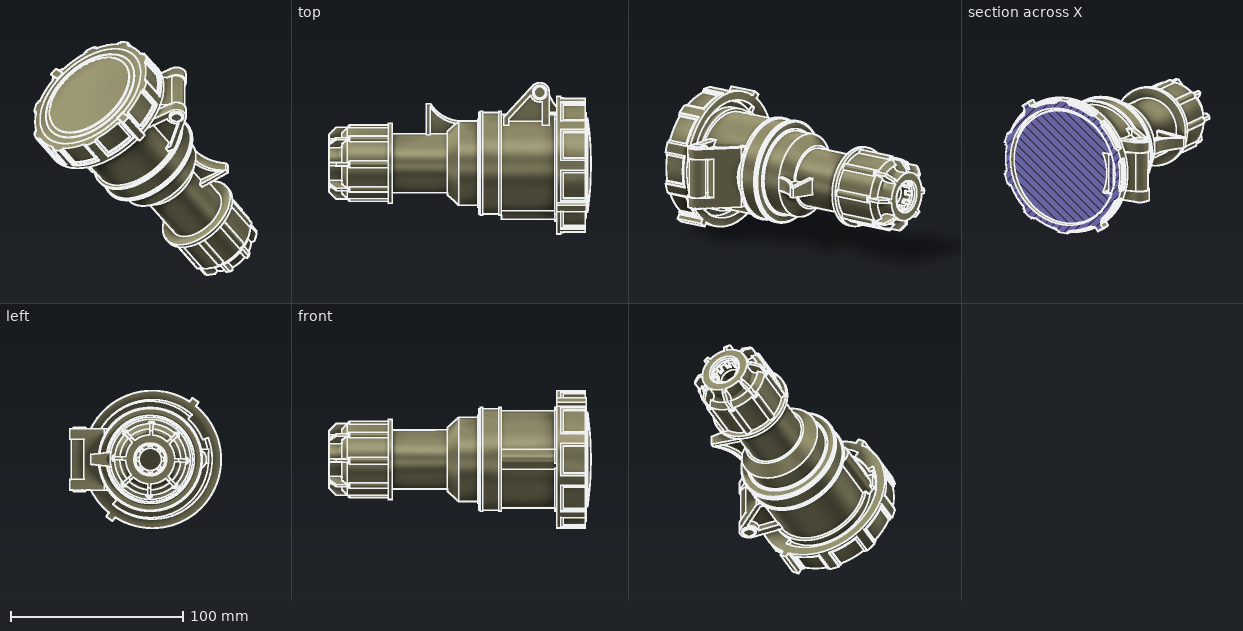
import cadquery as cq
import math

LENGTH = 152.2
COLLAR_Y = -1.2

NUT_HUB_R = 28.5 / 2
NUT_HUB_END = 5.6
NUT_SHOULDER_X = 7.6
NUT_SHOULDER_R = 17.7
NUT_BODY_R = 20.7
NUT_BODY_X = 10.8
NUT_FLANGE_R = 23.3
NUT_FLANGE_X = 34.4
NUT_END = 36.8
NUT_MOUTH_R = 17.2 / 2
NUT_MOUTH_CHAMFER = 0.9
GRIP_COUNT = 8
GRIP_TURN = 2.0
GRIP_RIB_R = 2.1
GRIP_RIB_TIP_R = 22.2
GRIP_RIB_X = 11.4
GRIP_RIB_CHAMFER = 0.6
FIN_WIDTH = 1.8
FIN_TIP_R = 20.9
FIN_CHAMFER = 4.3
FIN_ROOT_R = 12.2

INSERT_X = 2.7
INSERT_END = 9.3
CABLE_R = 13.0 / 2
FINGER_SLOT_R = 15.5 / 2
FINGER_COUNT = 8
FINGER_SLOT_WIDTH = 2.5
FINGER_SLOT_DEPTH = 3.8

NOSE_R = 25.5 / 2
TUBE_X = 18.3
TUBE_R = 17.2
CONE_X = 68.8
CONE_START_R = 18.5
CONE_END_X = 75.3
SHELL_R = 49.0 / 2
SHELL_BEAD_R = 25.5
SHELL_BEAD_WIDTH = 0.8
SHELL_END = 95.9

HOOK_X = 56.5
HOOK_TIP_X = 58.9
HOOK_TIP_Y = 34.5
HOOK_END_X = 75.5
HOOK_SAG = 2.3
HOOK_RIM = 1.7
HOOK_ROOT_Y = 15.2
HOOK_TIP_HALF_WIDTH = 2.9
HOOK_ROOT_HALF_WIDTH = 5.0
HOOK_WEB_HALF_WIDTH = 1.4

HOUSING_X = 87.0
BEAD_R = 60.3 / 2
BAND_R = 29.5
BEAD_WIDTH = 1.5
BEAD_1_X = 87.8
BEAD_2_X = 98.6
HOUSING_R = 28.3
HOUSING_FLANGE_X = 131.2
BAYONET_X = 136.2
BAYONET_R = 33.8
HOUSING_END = 140.0
KEY_R = 11.7 / 2
KEY_TIP_R = 32.5
KEY_END = 134.7
KEY_STOP_TOP = 6.0
KEY_STOP_BOTTOM = -2.1

PIVOT_X = 122.4
PIVOT_Y = 41.1
PIVOT_R = 5.6
BLOCK_HALF_WIDTH = 17.8
BLOCK_X = 101.4
BLOCK_SLOPE_Y = 26.6
BLOCK_FRONT_X = PIVOT_X + PIVOT_R
BLOCK_ROOT_Y = 18.3
BLOCK_WALL = 2.9
BLOCK_LEG = 4.3
BLOCK_RECESS = 3.5
WINDOW_HALF_WIDTH = 11.5
WINDOW_Y = 38.5
PIN_SHANK_R = 7.0 / 2
PIN_HEAD_R = 8.4 / 2
PIN_HEAD_HEIGHT = 0.9
PIN_TIP_R = 6.5 / 2

BARREL_R = 4.9
ARM_BOTTOM_Y = 29.4
ARM_TOP_Y = 32.7
ARM_SAG = 0.3
ARM_CLEARANCE = 0.3
LID_RIM_X = 149.5
LID_RIM_R = 30.5
DOME_X = 150.2
DOME_R = 27.4

COLLAR_X = 132.1
COLLAR_R = 79.9 / 2
COLLAR_BORE_R = 34.7
COLLAR_END = 148.9
POCKET_COUNT = 10
POCKET_ANGLE = 27.5
POCKET_X = 134.5
POCKET_STEP_R = 39.1
POCKET_FLOOR_ANGLE = 23.4
POCKET_FLOOR_X = 136.1
POCKET_FLOOR_R = 38.2
GRIP_TAB_R = 42.6
GRIP_TAB_END = 149.5
GRIP_TAB_WIDTH = 4.5
CATCH_R = 31.4
CATCH_WIDTH = 2.6
CATCH_START = 41.4
CATCH_END = 68.7

OVERSIZE = 60.9


def turned(points):
    """Solid of revolution about X from an (x, radius) outline starting and ending on the axis."""
    return cq.Workplane("XY").polyline(points).close().revolve(360, (0, 0, 0), (1, 0, 0))


def disc(x_start, x_end, radius, y=0.0):
    """Cylinder along X."""
    return cq.Workplane("YZ", origin=(x_start, y, 0)).circle(radius).extrude(x_end - x_start)


def plate(outline, half_width):
    """XY outline made into a plate centred on Z = 0."""
    return outline.extrude(half_width, both=True)


def box(x_range, y_range, z_range):
    """Axis-aligned box between pairs of limits."""
    size = [limits[1] - limits[0] for limits in (x_range, y_range, z_range)]
    return cq.Workplane("XY", origin=(x_range[0], y_range[0], z_range[0])).box(*size, centered=False)


def spin(shape, angle, y=0.0):
    """Turn a shape about the X-parallel axis at the given Y."""
    return shape.rotate((0, y, 0), (1, y, 0), angle)


def ring_sector(x_start, x_end, inner_r, outer_r, start, end):
    """Part of a ring about the collar axis, between two angles turned from +Z towards -Y."""
    def at(radius, angle):
        turn = math.radians(angle)
        return (-radius * math.sin(turn), radius * math.cos(turn))

    middle = (start + end) / 2
    return (
        cq.Workplane("YZ", origin=(x_start, COLLAR_Y, 0))
        .moveTo(*at(inner_r, start))
        .lineTo(*at(outer_r, start))
        .threePointArc(at(outer_r, middle), at(outer_r, end))
        .lineTo(*at(inner_r, end))
        .threePointArc(at(inner_r, middle), at(inner_r, start))
        .close()
        .extrude(x_end - x_start)
    )


def make_nut():
    fillet = NUT_SHOULDER_R - NUT_HUB_R
    bend = math.sqrt(0.5) * fillet
    nut = (
        cq.Workplane("XY")
        .moveTo(0, 0)
        .lineTo(0, NUT_HUB_R)
        .lineTo(NUT_HUB_END, NUT_HUB_R)
        .threePointArc(
            (NUT_HUB_END + bend, NUT_SHOULDER_R - bend),
            (NUT_HUB_END + fillet, NUT_SHOULDER_R),
        )
        .lineTo(NUT_SHOULDER_X, NUT_SHOULDER_R)
        .lineTo(NUT_BODY_X, NUT_BODY_R)
        .lineTo(NUT_FLANGE_X, NUT_BODY_R)
        .lineTo(NUT_FLANGE_X, NUT_FLANGE_R)
        .lineTo(NUT_END, NUT_FLANGE_R)
        .lineTo(NUT_END, 0)
        .close()
        .revolve(360, (0, 0, 0), (1, 0, 0))
    )
    fin = (
        cq.Workplane("XZ")
        .polyline([
            (0, FIN_ROOT_R),
            (0, FIN_TIP_R - FIN_CHAMFER),
            (FIN_CHAMFER, FIN_TIP_R),
            (GRIP_RIB_X, FIN_TIP_R),
            (GRIP_RIB_X, FIN_ROOT_R),
        ])
        .close()
        .extrude(FIN_WIDTH / 2, both=True)
    )
    rib = disc(GRIP_RIB_X, NUT_FLANGE_X, GRIP_RIB_R).faces("<X").chamfer(GRIP_RIB_CHAMFER)
    rib = rib.translate((0, 0, GRIP_RIB_TIP_R - GRIP_RIB_R))
    for index in range(GRIP_COUNT):
        angle = GRIP_TURN + index * 360 / GRIP_COUNT
        nut = nut.union(spin(fin, angle)).union(spin(rib, angle))
    bore = turned([
        (0, 0),
        (0, NUT_MOUTH_R + NUT_MOUTH_CHAMFER),
        (NUT_MOUTH_CHAMFER, NUT_MOUTH_R),
        (INSERT_END, NUT_MOUTH_R),
        (INSERT_END, NOSE_R),
        (TUBE_X, NOSE_R),
        (TUBE_X, TUBE_R),
        (NUT_END, TUBE_R),
        (NUT_END, 0),
    ])
    return nut.cut(bore)


def make_insert():
    finger_end = INSERT_X + FINGER_SLOT_DEPTH
    insert = disc(INSERT_X, INSERT_END, NUT_MOUTH_R).cut(disc(INSERT_X, INSERT_END, CABLE_R))
    slot = box(
        (INSERT_X, finger_end),
        (-FINGER_SLOT_WIDTH / 2, FINGER_SLOT_WIDTH / 2),
        (0, FINGER_SLOT_R),
    )
    for index in range(FINGER_COUNT):
        insert = insert.cut(spin(slot, index * 360 / FINGER_COUNT))
    return insert


def hook_outline(offset):
    """Side outline of the hook; the offset drops its concave top edge."""
    tip_y = HOOK_TIP_Y - offset
    end_y = SHELL_R - offset
    chord_x = HOOK_END_X - HOOK_TIP_X
    chord_y = tip_y - end_y
    chord = math.hypot(chord_x, chord_y)
    middle = (
        (HOOK_TIP_X + HOOK_END_X) / 2 - HOOK_SAG * chord_y / chord,
        (tip_y + end_y) / 2 - HOOK_SAG * chord_x / chord,
    )
    return (
        cq.Workplane("XY")
        .moveTo(HOOK_X, HOOK_ROOT_Y)
        .lineTo(HOOK_X, tip_y)
        .lineTo(HOOK_TIP_X, tip_y)
        .threePointArc(middle, (HOOK_END_X, end_y))
        .lineTo(HOOK_END_X, HOOK_ROOT_Y)
        .close()
    )


def make_hook():
    """Tapered end plate and curved rim joined by a thin web."""
    body = plate(hook_outline(0), HOOK_ROOT_HALF_WIDTH)
    side_pocket = plate(hook_outline(HOOK_RIM), HOOK_ROOT_HALF_WIDTH).cut(
        box((0, HOOK_TIP_X), (0, OVERSIZE), (-OVERSIZE, OVERSIZE))
    )
    side_pocket = side_pocket.cut(plate(hook_outline(0), HOOK_WEB_HALF_WIDTH))
    taper = (
        cq.Workplane("YZ", origin=(HOOK_X, 0, 0))
        .polyline([
            (HOOK_ROOT_Y, -HOOK_ROOT_HALF_WIDTH),
            (HOOK_TIP_Y, -HOOK_TIP_HALF_WIDTH),
            (HOOK_TIP_Y, HOOK_TIP_HALF_WIDTH),
            (HOOK_ROOT_Y, HOOK_ROOT_HALF_WIDTH),
        ])
        .close()
        .extrude(HOOK_END_X - HOOK_X)
    )
    return body.cut(side_pocket).intersect(taper)


def make_rear_housing():
    shell = turned([
        (INSERT_END, 0),
        (INSERT_END, NOSE_R),
        (TUBE_X, NOSE_R),
        (TUBE_X, TUBE_R),
        (CONE_X, TUBE_R),
        (CONE_X, CONE_START_R),
        (CONE_END_X, SHELL_R),
        (HOUSING_X - SHELL_BEAD_WIDTH, SHELL_R),
        (HOUSING_X - SHELL_BEAD_WIDTH, SHELL_BEAD_R),
        (HOUSING_X, SHELL_BEAD_R),
        (HOUSING_X, SHELL_R),
        (SHELL_END, SHELL_R),
        (SHELL_END, 0),
    ])
    shell = shell.cut(disc(INSERT_END, TUBE_X, CABLE_R))
    return shell.union(make_hook())


def block_slope_direction():
    """Unit vector up the sloped side of the pivot block, tangent to the pivot circle."""
    run = PIVOT_X - BLOCK_X
    rise = PIVOT_Y - BLOCK_SLOPE_Y
    angle = math.atan2(rise, run) + math.asin(PIVOT_R / math.hypot(run, rise))
    return math.cos(angle), math.sin(angle)


def make_pivot_block():
    along_x, along_y = block_slope_direction()
    tangent = (PIVOT_X - PIVOT_R * along_y, PIVOT_Y + PIVOT_R * along_x)
    block = plate(
        cq.Workplane("XY")
        .moveTo(BLOCK_X, BLOCK_ROOT_Y)
        .lineTo(BLOCK_X, BLOCK_SLOPE_Y)
        .lineTo(*tangent)
        .threePointArc((PIVOT_X, PIVOT_Y + PIVOT_R), (BLOCK_FRONT_X, PIVOT_Y))
        .lineTo(BLOCK_FRONT_X, BLOCK_ROOT_Y)
        .close(),
        BLOCK_HALF_WIDTH,
    )
    recess_x = BLOCK_X + BLOCK_WALL
    recess_corner_y = BLOCK_SLOPE_Y + BLOCK_WALL * (along_y - 1) / along_x
    recess_front_x = BLOCK_FRONT_X - BLOCK_LEG
    recess_top_y = recess_corner_y + (recess_front_x - recess_x) * along_y / along_x
    recess = (
        cq.Workplane("XY", origin=(0, 0, BLOCK_HALF_WIDTH - BLOCK_RECESS))
        .polyline([
            (recess_x, BLOCK_ROOT_Y),
            (recess_x, recess_corner_y),
            (recess_front_x, recess_top_y),
            (recess_front_x, BLOCK_ROOT_Y),
        ])
        .close()
        .extrude(BLOCK_RECESS)
        .cut(plate(cq.Workplane("XY").center(PIVOT_X, PIVOT_Y).circle(PIVOT_R), BLOCK_HALF_WIDTH))
    )
    block = block.cut(recess).cut(recess.mirror("XY"))
    across = (-WINDOW_HALF_WIDTH, WINDOW_HALF_WIDTH)
    window = box((BLOCK_X, LENGTH), (WINDOW_Y, OVERSIZE), across)
    window = window.union(box((PIVOT_X - PIVOT_R, LENGTH), (ARM_BOTTOM_Y, OVERSIZE), across))
    return block.cut(window)


def make_front_housing():
    bead_1_end = BEAD_1_X + BEAD_WIDTH
    bead_2_end = BEAD_2_X + BEAD_WIDTH
    housing = turned([
        (HOUSING_X, 0),
        (HOUSING_X, BAND_R),
        (BEAD_1_X, BAND_R),
        (BEAD_1_X, BEAD_R),
        (bead_1_end, BEAD_R),
        (bead_1_end, BAND_R),
        (BEAD_2_X, BAND_R),
        (BEAD_2_X, BEAD_R),
        (bead_2_end, BEAD_R),
        (bead_2_end, HOUSING_R),
        (HOUSING_FLANGE_X, HOUSING_R),
        (HOUSING_FLANGE_X, BEAD_R),
        (BAYONET_X, BEAD_R),
        (BAYONET_X, HOUSING_R),
        (HOUSING_END, HOUSING_R),
        (HOUSING_END, 0),
    ])
    bayonet = disc(BAYONET_X, HOUSING_END, BAYONET_R)
    housing = housing.union(bayonet.intersect(disc(BAYONET_X, HOUSING_END, COLLAR_BORE_R, COLLAR_Y)))
    housing = housing.union(disc(bead_2_end, KEY_END, KEY_R, KEY_R - KEY_TIP_R))
    housing = housing.union(
        box((HOUSING_FLANGE_X, KEY_END), (-BAYONET_R, -HOUSING_R), (KEY_STOP_BOTTOM, KEY_STOP_TOP))
    )
    notch_half_width = WINDOW_HALF_WIDTH + ARM_CLEARANCE
    notch = box(
        (HOUSING_FLANGE_X, HOUSING_END),
        (0, OVERSIZE),
        (-notch_half_width, notch_half_width),
    ).cut(disc(HOUSING_FLANGE_X, HOUSING_END, HOUSING_R))
    housing = housing.cut(notch).union(make_pivot_block())
    housing = housing.cut(disc(HOUSING_X, SHELL_END, SHELL_R))
    return housing.cut(make_pin())


def make_pin():
    tip = BLOCK_HALF_WIDTH + PIN_HEAD_HEIGHT
    return (
        cq.Workplane("XZ")
        .polyline([
            (0, -tip),
            (PIN_TIP_R, -tip),
            (PIN_HEAD_R, -BLOCK_HALF_WIDTH),
            (PIN_SHANK_R, -BLOCK_HALF_WIDTH),
            (PIN_SHANK_R, BLOCK_HALF_WIDTH),
            (PIN_HEAD_R, BLOCK_HALF_WIDTH),
            (PIN_TIP_R, tip),
            (0, tip),
        ])
        .close()
        .revolve(360, (0, 0, 0), (0, 1, 0))
        .translate((PIVOT_X, PIVOT_Y, 0))
    )


def make_lid():
    lid = disc(HOUSING_END, COLLAR_END, COLLAR_BORE_R, COLLAR_Y)
    lid = lid.union(disc(COLLAR_END, LID_RIM_X, LID_RIM_R, COLLAR_Y))
    sag = LENGTH - DOME_X
    dome_sphere_r = (DOME_R**2 + sag**2) / (2 * sag)
    half_r = DOME_R / 2
    half_sag = dome_sphere_r - math.sqrt(dome_sphere_r**2 - half_r**2)
    dome = (
        cq.Workplane("XY")
        .moveTo(LID_RIM_X, 0)
        .lineTo(LID_RIM_X, DOME_R)
        .lineTo(DOME_X, DOME_R)
        .threePointArc((LENGTH - half_sag, half_r), (LENGTH, 0))
        .close()
        .revolve(360, (0, 0, 0), (1, 0, 0))
        .translate((0, COLLAR_Y, 0))
    )
    arm_start = (PIVOT_X + BARREL_R, PIVOT_Y)
    arm_middle = ((arm_start[0] + COLLAR_X) / 2 - ARM_SAG, (PIVOT_Y + ARM_TOP_Y) / 2 - ARM_SAG)
    arm = plate(
        cq.Workplane("XY")
        .moveTo(PIVOT_X, ARM_BOTTOM_Y)
        .lineTo(PIVOT_X, PIVOT_Y)
        .lineTo(*arm_start)
        .threePointArc(arm_middle, (COLLAR_X, ARM_TOP_Y))
        .lineTo(HOUSING_END, ARM_TOP_Y)
        .lineTo(HOUSING_END, ARM_BOTTOM_Y)
        .close(),
        WINDOW_HALF_WIDTH,
    )
    outside_bore = box((COLLAR_X, HOUSING_END), (0, OVERSIZE), (-OVERSIZE, OVERSIZE)).cut(
        disc(COLLAR_X, HOUSING_END, COLLAR_BORE_R, COLLAR_Y)
    )
    barrel = plate(cq.Workplane("XY").center(PIVOT_X, PIVOT_Y).circle(BARREL_R), WINDOW_HALF_WIDTH)
    return lid.union(dome).union(arm.cut(outside_bore)).union(barrel).cut(make_pin())


def make_collar():
    collar = disc(COLLAR_X, COLLAR_END, COLLAR_R, COLLAR_Y)
    pitch = 360 / POCKET_COUNT
    for index in range(POCKET_COUNT):
        middle = (index + 0.5) * pitch
        for start_x, radius, angle in (
            (POCKET_X, POCKET_STEP_R, POCKET_ANGLE),
            (POCKET_FLOOR_X, POCKET_FLOOR_R, POCKET_FLOOR_ANGLE),
        ):
            collar = collar.cut(
                ring_sector(start_x, LENGTH, radius, OVERSIZE, middle - angle / 2, middle + angle / 2)
            )
    tab = box(
        (COLLAR_X, GRIP_TAB_END),
        (COLLAR_Y - GRIP_TAB_WIDTH / 2, COLLAR_Y + GRIP_TAB_WIDTH / 2),
        (COLLAR_BORE_R, GRIP_TAB_R),
    )
    for half_turn in (0, 180):
        collar = collar.union(spin(tab, pitch + half_turn, COLLAR_Y))
    collar = collar.cut(disc(COLLAR_X, GRIP_TAB_END, COLLAR_BORE_R, COLLAR_Y))
    for half_turn in (0, 180):
        collar = collar.union(
            ring_sector(
                COLLAR_X, COLLAR_X + CATCH_WIDTH, CATCH_R, (COLLAR_BORE_R + COLLAR_R) / 2,
                CATCH_START + half_turn, CATCH_END + half_turn,
            )
        )
    return collar


nut = make_nut()
insert = make_insert()
rear_housing = make_rear_housing()
front_housing = make_front_housing()
pin = make_pin()
lid = make_lid()
collar = make_collar()

result = cq.Compound.makeCompound([
    nut.val(),
    insert.val(),
    rear_housing.val(),
    front_housing.val(),
    pin.val(),
    lid.val(),
    collar.val(),
])